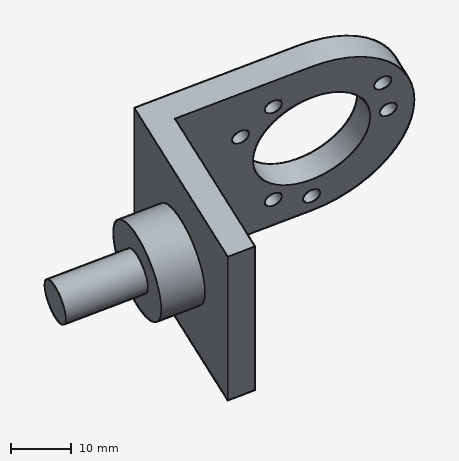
import cadquery as cq

plate_thickness = 5.0
bracket_width = 35.0
bracket_height = 37.6
end_radius = bracket_height / 2
bore_to_front = 30.0
bore_diameter = 21.4

boss_diameter = 18.0
boss_length = 8.0
pin_diameter = 8.0
pin_length = 15.0

screw_hole_diameter = 3.1
holes_per_set = 3
inner_set_radius = 14.0
inner_set_start_angle = 0.0
outer_set_radius = 15.0
outer_set_start_angle = 30.0

front_y = -bore_to_front
pin_axis_x = bracket_width / 2


def side_plate():
    """Plate in the YZ plane with a full round end concentric with the bore."""
    return (
        cq.Workplane("YZ")
        .moveTo(front_y, -end_radius)
        .lineTo(0, -end_radius)
        .threePointArc((end_radius, 0), (0, end_radius))
        .lineTo(front_y, end_radius)
        .close()
        .extrude(plate_thickness)
    )


def front_plate():
    """Rectangular plate at right angles to the side plate."""
    return cq.Workplane("XY").box(
        bracket_width, plate_thickness, bracket_height, centered=(False, False, True)
    ).translate((0, front_y, 0))


def forward_cylinder(diameter, length):
    """Cylinder on the pin axis, reaching forward (-Y) from the front face."""
    return (
        cq.Workplane("XZ", origin=(pin_axis_x, front_y, 0))
        .circle(diameter / 2)
        .extrude(length)
    )


def screw_holes(set_radius, start_angle):
    """Cutters for one set of screw holes through the side plate."""
    return (
        cq.Workplane("YZ")
        .polarArray(set_radius, start_angle, 360, holes_per_set)
        .circle(screw_hole_diameter / 2)
        .extrude(plate_thickness)
    )


bore = cq.Workplane("YZ").circle(bore_diameter / 2).extrude(plate_thickness)

result = (
    side_plate()
    .union(front_plate())
    .union(forward_cylinder(boss_diameter, boss_length))
    .union(forward_cylinder(pin_diameter, boss_length + pin_length))
    .cut(bore)
    .cut(screw_holes(inner_set_radius, inner_set_start_angle))
    .cut(screw_holes(outer_set_radius, outer_set_start_angle))
)